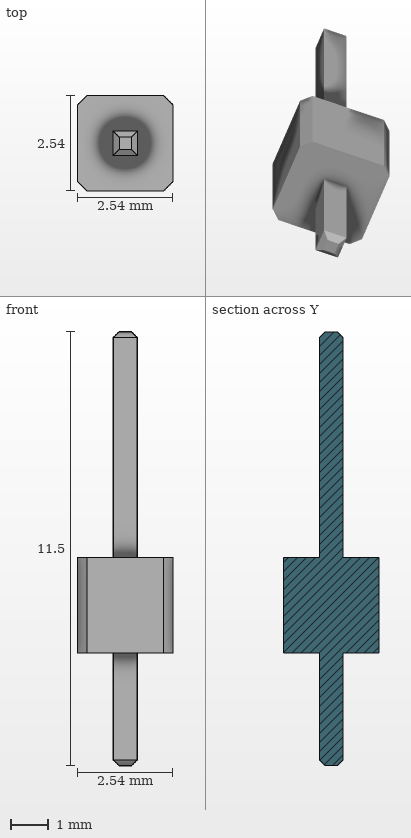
import cadquery as cq

pitch = 2.54
body_height = 2.54
body_corner_chamfer = pitch / 10

pin_width = 0.64
pin_length_above = 6.0
pin_length_below = 3.0
pin_tip_chamfer = pin_width / 4


def make_body():
    """Square block with its four upright corners chamfered."""
    block = cq.Workplane("XY").box(pitch, pitch, body_height, centered=(True, True, False))
    return block.edges("|Z").chamfer(body_corner_chamfer)


def make_pin():
    """Square pin with both ends chamfered to a smaller square tip."""
    pin_length = pin_length_below + body_height + pin_length_above
    pin = (
        cq.Workplane("XY")
        .workplane(offset=-pin_length_below)
        .rect(pin_width, pin_width)
        .extrude(pin_length)
    )
    return pin.faces("<Z or >Z").edges().chamfer(pin_tip_chamfer)


result = make_body().union(make_pin())